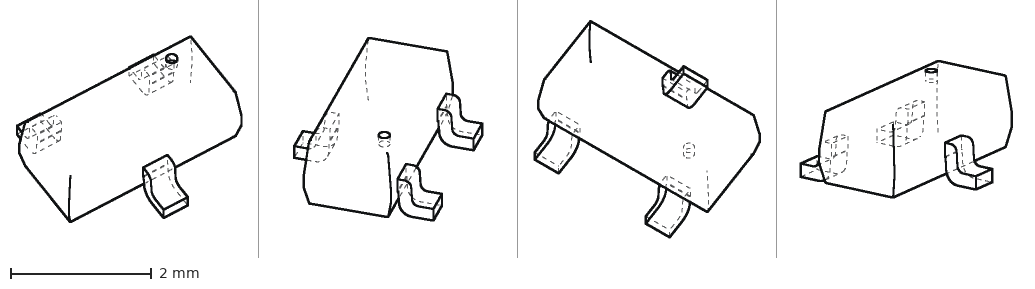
import cadquery as cq
import math

span_across_leads = 2.37
body_width = 1.30
body_length = 2.92

body_bottom = 0.08
belt_bottom = 0.39
belt_top = 0.60
body_top = 1.17

upper_draft = 6.4
lower_draft = 12.0
top_edge_radius = 0.035
bottom_edge_radius = 0.03

mark_diameter = 0.16
mark_depth = 0.15
mark_x = -0.39
mark_y = 0.95

lead_width = 0.41
lead_thickness = 0.20
lead_pitch = 0.95
leg_lean = 3.5
bend_radius = 0.105
heel_radius = 0.20
shoulder_length = 0.10


def make_body():
    """Straight belt with a tapered cap above and a tapered base below."""
    belt_height = belt_top - belt_bottom
    belt = (
        cq.Workplane("XY")
        .workplane(offset=belt_bottom)
        .rect(body_width, body_length)
        .extrude(belt_height)
    )
    cap = (
        cq.Workplane("XY")
        .workplane(offset=belt_top)
        .rect(body_width, body_length)
        .extrude(body_top - belt_top, taper=upper_draft)
        .faces(">Z")
        .edges()
        .fillet(top_edge_radius)
    )
    base = (
        cq.Workplane("XY")
        .workplane(offset=belt_bottom)
        .rect(body_width, body_length)
        .extrude(body_bottom - belt_bottom, taper=lower_draft)
        .faces("<Z")
        .edges()
        .fillet(bottom_edge_radius)
    )
    mark = (
        cq.Workplane("XY")
        .workplane(offset=body_top - mark_depth)
        .center(mark_x, mark_y)
        .circle(mark_diameter / 2)
        .extrude(mark_depth)
    )
    return belt.union(cap).union(base).cut(mark)


def make_lead():
    """Gull-wing lead on the +X side, centred on Y = 0, butted against the belt."""
    lean = math.radians(leg_lean)
    lean_run = math.tan(lean)
    body_face = body_width / 2
    toe = span_across_leads / 2

    shoulder_setback = bend_radius * math.tan((math.pi / 2 - lean) / 2)
    shoulder_x = body_face + shoulder_length + shoulder_setback
    instep_x = shoulder_x + (belt_top - lead_thickness) * lean_run

    leg_width = lead_thickness / math.cos(lean)
    heel_x = shoulder_x + belt_top * lean_run - leg_width
    knee_x = heel_x - belt_bottom * lean_run

    profile = (
        cq.Workplane("XZ", origin=(0, lead_width / 2, 0))
        .moveTo(body_face, belt_top)
        .lineTo(shoulder_x, belt_top)
        .lineTo(instep_x, lead_thickness)
        .lineTo(toe, lead_thickness)
        .lineTo(toe, 0)
        .lineTo(heel_x, 0)
        .lineTo(knee_x, belt_bottom)
        .lineTo(body_face, belt_bottom)
        .close()
        .extrude(lead_width)
    )

    def corner(x, z):
        return cq.selectors.NearestToPointSelector((x, 0, z))

    return (
        profile.edges(corner(shoulder_x, belt_top))
        .fillet(bend_radius)
        .edges(corner(instep_x, lead_thickness))
        .fillet(bend_radius)
        .edges(corner(heel_x, 0))
        .fillet(heel_radius)
    )


body = make_body()

right_lead = make_lead()
left_lead = right_lead.mirror("YZ")
leads = [right_lead]
for side in (-1, 1):
    leads.append(left_lead.translate((0, side * lead_pitch, 0)))

result = cq.Compound.makeCompound([body.val()] + [lead.val() for lead in leads])